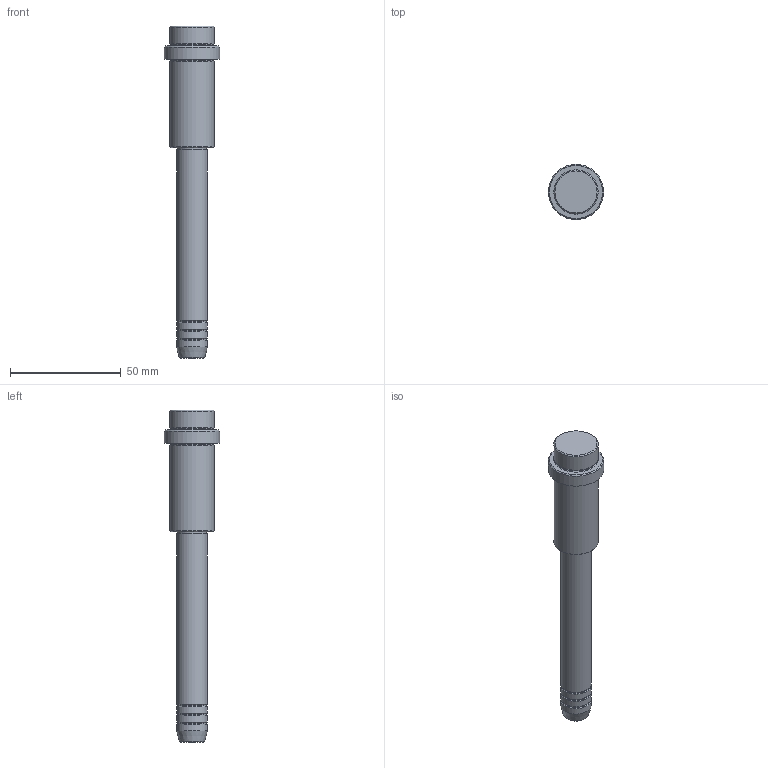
import cadquery as cq
import math

total_length = 150.0
body_diameter = 20.0
collar_diameter = 25.0
stem_diameter = 14.0

head_length = 9.0
collar_thickness = 6.0
body_length = 40.0
tip_length = 5.0

groove_width = 1.0
groove_depth = 0.35
oil_groove_count = 3
oil_groove_pitch = 4.0
lowest_groove_above_taper = 3.5

stem_relief_width = 1.0
stem_relief_depth = 0.5

body_chamfer = 0.5
collar_chamfer = 0.5
tip_taper_angle = 15.0
tip_fillet = 0.5

tip_z = 0.0
top_z = tip_z + total_length
collar_top_z = top_z - head_length
collar_bottom_z = collar_top_z - collar_thickness
body_bottom_z = collar_bottom_z - body_length
taper_top_z = tip_z + tip_length


def cylinder(diameter, bottom_z, top_level_z):
    """Solid cylinder on the pin axis between two levels."""
    height = top_level_z - bottom_z
    return cq.Workplane("XY").workplane(offset=bottom_z).circle(diameter / 2).extrude(height)


def groove_ring(diameter, centre_z):
    """Ring that cuts a groove with 45 degree flanks and a flat floor into a cylinder."""
    surface = diameter / 2
    half_mouth = groove_width / 2
    half_floor = half_mouth - groove_depth
    profile = [
        (surface - groove_depth, centre_z - half_floor),
        (surface, centre_z - half_mouth),
        (surface + groove_depth, centre_z - half_mouth),
        (surface + groove_depth, centre_z + half_mouth),
        (surface, centre_z + half_mouth),
        (surface - groove_depth, centre_z + half_floor),
    ]
    return cq.Workplane("XZ").polyline(profile).close().revolve(360, (0, 0, 0), (0, 1, 0))


def make_head():
    """Short cylinder above the collar with a groove at the collar face."""
    head = cylinder(body_diameter, collar_top_z, top_z).faces(">Z").edges().chamfer(body_chamfer)
    return head.cut(groove_ring(body_diameter, collar_top_z + groove_width / 2))


def make_collar():
    """Widest ring, chamfered on its upper rim."""
    collar = cylinder(collar_diameter, collar_bottom_z, collar_top_z)
    return collar.faces(">Z").edges().chamfer(collar_chamfer)


def make_body():
    """Long cylinder under the collar with a groove at the collar face."""
    body = cylinder(body_diameter, body_bottom_z, collar_bottom_z)
    body = body.faces("<Z").edges().chamfer(body_chamfer)
    return body.cut(groove_ring(body_diameter, collar_bottom_z - groove_width / 2))


def make_stem():
    """Slim stem with a relieved upper end, a tapered, rounded tip and oil grooves."""
    taper_inset = tip_length * math.tan(math.radians(tip_taper_angle))
    shank_top_z = body_bottom_z - stem_relief_width
    stem = cylinder(stem_diameter, tip_z, shank_top_z)
    stem = stem.faces("<Z").edges().chamfer(tip_length, taper_inset)
    stem = stem.faces("<Z").edges().fillet(tip_fillet)
    for index in range(oil_groove_count):
        groove_z = taper_top_z + lowest_groove_above_taper + index * oil_groove_pitch
        stem = stem.cut(groove_ring(stem_diameter, groove_z))
    neck = cylinder(stem_diameter - 2 * stem_relief_depth, shank_top_z, body_bottom_z)
    return stem.union(neck)


result = make_head().union(make_collar()).union(make_body()).union(make_stem())